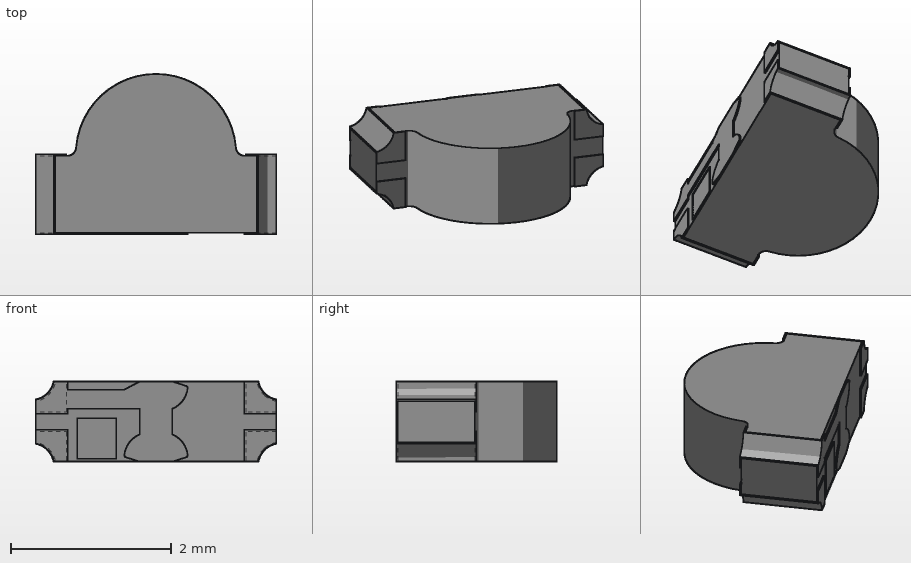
import cadquery as cq
import math

length = 3.0
height = length / 3
depth = length / 3
dome_radius = length / 3
half_length = length / 2
half_height = height / 2

plating = 0.02
notch_radius = 0.275
notch_offset = 0.048
front_pad_width = 0.4
front_pad_gap = 0.2
back_pad_width = 0.38
back_pad_gap = 0.24

dome_fillet = 0.108
core_front = plating - depth
core_back = -plating

mark_left = -0.98
mark_right = -0.492
mark_bottom = -0.465
mark_top = 0.042
mark_rise = 0.01

strip_bottom = 0.16
strip_top = 0.4
waist_half_width = 0.2
lobe_half_width = 0.393
lobe_bulge = (0.333, 0.26)
lobe_bulge_end = 0.408
lobe_corner = (0.39, 0.432)
lobe_corner_end = (0.375, 0.445)


def front_workplane(y):
    """XZ workplane at the given Y; a positive extrusion goes toward -Y."""
    return cq.Workplane(cq.Plane(origin=(0, y, 0), xDir=(1, 0, 0), normal=(0, -1, 0)))


def corner_rod(side, level, radius):
    """Rod along Y, centred just outside one of the four long corner edges of the base."""
    centre = (side * (half_length + notch_offset), level * (half_height + notch_offset))
    return front_workplane(0).center(*centre).circle(radius).extrude(depth)


def corner_block(side, level, width, z_inner, y_front, thickness):
    """Block in one corner of the base, from z_inner out to its top or bottom face."""
    block_height = half_height - z_inner
    x_centre = side * (half_length - width / 2)
    z_centre = level * (half_height - block_height / 2)
    block = cq.Workplane("XY").box(width, thickness, block_height)
    return block.translate((x_centre, y_front + thickness / 2, z_centre))


def make_housing():
    """Base with notched corner edges, filleted dome and raised mark."""
    base = cq.Workplane("XY").box(length, core_back - core_front, height)
    base = base.translate((0, (core_front + core_back) / 2, 0))
    for side in (-1, 1):
        for level in (-1, 1):
            base = base.cut(corner_rod(side, level, notch_radius + plating))

    fillet_y = core_back + dome_fillet
    fillet_x = math.sqrt((dome_radius + dome_fillet) ** 2 - fillet_y ** 2)
    touch = dome_radius / (dome_radius + dome_fillet)
    dome_end = (fillet_x * touch, fillet_y * touch)
    mid_angle = (math.atan2(fillet_y, fillet_x) + math.pi / 2) / 2
    fillet_mid = (
        fillet_x - dome_fillet * math.cos(mid_angle),
        fillet_y - dome_fillet * math.sin(mid_angle),
    )
    dome = (
        cq.Workplane("XY")
        .workplane(offset=-half_height)
        .moveTo(-fillet_x, core_back)
        .threePointArc((-fillet_mid[0], fillet_mid[1]), (-dome_end[0], dome_end[1]))
        .threePointArc((0, dome_radius), dome_end)
        .threePointArc(fillet_mid, (fillet_x, core_back))
        .lineTo(fillet_x, core_front)
        .lineTo(-fillet_x, core_front)
        .close()
        .extrude(height)
    )

    mark = (
        front_workplane(core_front)
        .moveTo(mark_left, mark_bottom)
        .lineTo(mark_right, mark_bottom)
        .lineTo(mark_right, mark_top)
        .lineTo(mark_left, mark_top)
        .close()
        .extrude(mark_rise)
    )
    return base.union(dome).union(mark)


def make_terminal(side, level):
    """Corner plating: front pad, back pad and the lining of the notch between them."""
    front_pad = corner_block(side, level, front_pad_width, front_pad_gap / 2, -depth, plating)
    back_pad = corner_block(side, level, back_pad_width, back_pad_gap / 2, core_back, plating)
    lining_size = notch_radius + plating
    corner = corner_block(side, level, lining_size, half_height - lining_size, -depth, depth)
    lining = corner.intersect(corner_rod(side, level, lining_size))
    terminal = front_pad.union(back_pad).union(lining)
    return terminal.cut(corner_rod(side, level, notch_radius))


def add_lobe(outline, x_sign, z_sign, outward):
    """Trace one rounded lobe of the die pad, outward from the waist or back to it."""
    def place(x, z):
        return (x_sign * x, z_sign * z)

    waist = place(waist_half_width, strip_bottom)
    tip = place(waist_half_width, half_height)
    bulge_end = place(lobe_half_width, lobe_bulge_end)
    corner_end = place(*lobe_corner_end)
    if outward:
        outline = outline.lineTo(*waist).threePointArc(place(*lobe_bulge), bulge_end)
        return outline.threePointArc(place(*lobe_corner), corner_end).lineTo(*tip)
    outline = outline.lineTo(*tip).lineTo(*corner_end)
    return outline.threePointArc(place(*lobe_corner), bulge_end).threePointArc(place(*lobe_bulge), waist)


def make_die_conductor():
    """Strip from the upper left pad, widening into the die pad with three lobes."""
    strip_start = front_pad_width - half_length
    outline = front_workplane(core_front).moveTo(strip_start, strip_top).lineTo(strip_start, strip_bottom)
    outline = outline.lineTo(-waist_half_width, strip_bottom)
    outline = add_lobe(outline, -1, -1, outward=True)
    outline = add_lobe(outline, 1, -1, outward=False)
    outline = add_lobe(outline, 1, 1, outward=True)
    outline = outline.lineTo(-waist_half_width, half_height).lineTo(-lobe_half_width, strip_top)
    return outline.close().extrude(plating)


housing = make_housing()

terminals = []
for side in (-1, 1):
    for level in (-1, 1):
        terminal = make_terminal(side, level)
        if (side, level) == (-1, 1):
            terminal = terminal.union(make_die_conductor())
        terminals.append(terminal.val())

result = cq.Compound.makeCompound([housing.val(), *terminals])